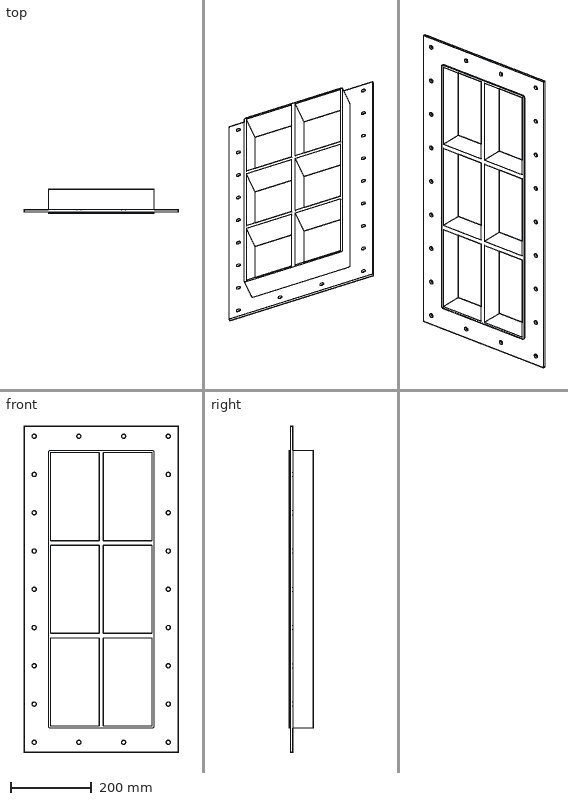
import cadquery as cq

plate_width = 383.0
plate_height = 810.0
plate_thickness = 6.0

flange_margin = 60.0
frame_width = plate_width - 2 * flange_margin
frame_height = plate_height - 2 * flange_margin
frame_depth = 60.0
frame_lip = 3.0
corner_radius = 6.0

columns = 2
rows = 3
wall_thickness = 6.0
mullion_width = 10.0
transom_height = 12.0
window_width = (frame_width - 2 * wall_thickness - (columns - 1) * mullion_width) / columns
window_height = (frame_height - 2 * wall_thickness - (rows - 1) * transom_height) / rows

hole_diameter = 10.0
hole_inset = 25.0
holes_across = 4
holes_up = 9
hole_pitch_x = (plate_width - 2 * hole_inset) / (holes_across - 1)
hole_pitch_z = (plate_height - 2 * hole_inset) / (holes_up - 1)


def plane_at(y):
    """XZ workplane at depth y, extruding toward +Y (its local y axis is Z, local x axis is -X)."""
    return cq.Workplane(cq.Plane(origin=(0, y, 0), xDir=(-1, 0, 0), normal=(0, 1, 0)))


def hole_centers():
    """Centres of the holes on the rectangular ring along the plate edge."""
    centers = []
    for i in range(holes_across):
        for j in range(holes_up):
            on_side = i in (0, holes_across - 1)
            on_end = j in (0, holes_up - 1)
            if on_side or on_end:
                x = hole_inset - plate_width / 2 + i * hole_pitch_x
                z = hole_inset - plate_height / 2 + j * hole_pitch_z
                centers.append((x, z))
    return centers


def make_plate():
    plate = plane_at(frame_lip).rect(plate_width, plate_height).extrude(plate_thickness)
    holes = (
        plane_at(frame_lip)
        .pushPoints(hole_centers())
        .circle(hole_diameter / 2)
        .extrude(plate_thickness)
    )
    return plate.cut(holes)


def make_frame_block():
    block = plane_at(0).rect(frame_width, frame_height).extrude(frame_depth)
    return block.edges("|Y").fillet(corner_radius)


def make_windows():
    """Sharp-cornered openings through the full depth of the frame."""
    return (
        plane_at(0)
        .rarray(window_width + mullion_width, window_height + transom_height, columns, rows)
        .rect(window_width, window_height)
        .extrude(frame_depth)
    )


result = make_plate().union(make_frame_block()).cut(make_windows())